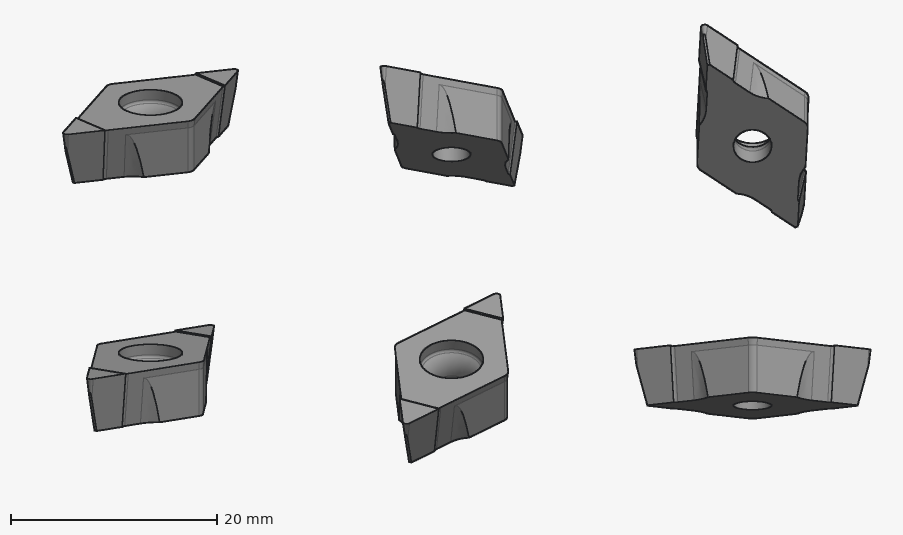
import cadquery as cq
import math

LENGTH = 20.4
WIDTH = 11.0
HEIGHT = 5.53
TIP_ANGLE = 55.0
CLEARANCE = 7.0

TIP_RISE = 0.08
TIP_STEP_WIDTH = 0.16
FLANK_STEP = 0.15
TIP_START = 6.1
BLEND_START = 5.75
CORNER_RADIUS = 1.0
NOSE_FACET_DEPTH = 1.43

PAD_TOP = 4.73
PAD_END = 3.98
PAD_END_RADIUS = 3.26
PAD_CURVE_RISE = 0.82

BORE_DIAMETER = 3.7
SEAT_DIAMETER = 6.16
SEAT_DEPTH = 1.12
SEAT_COVE_WIDTH = 0.16
SEAT_COVE_DEPTH = 0.3

SLOPE = math.tan(math.radians(CLEARANCE))
HALF_ANGLE = math.radians(TIP_ANGLE / 2)
SIN_HALF = math.sin(HALF_ANGLE)
COS_HALF = math.cos(HALF_ANGLE)

tip_distance = WIDTH / 2
body_distance = tip_distance - FLANK_STEP
bottom_inset = HEIGHT * SLOPE
nose_ratio = (1 + math.cos(2 * HALF_ANGLE)) / math.sin(2 * HALF_ANGLE)
nose_radius = (nose_ratio * tip_distance - LENGTH / 2) / (nose_ratio - 1)
nose_centre = (tip_distance - nose_radius) / SIN_HALF


def flank_point(along, distance, side_x, side_y):
    """Point on one of the four flanks; along grows from its middle towards the tip."""
    x = distance * COS_HALF - along * SIN_HALF
    y = distance * SIN_HALF + along * COS_HALF
    return (side_x * x, side_y * y)


def arc_rise(along_end, radius, along):
    """Outward rise of an arc tangent to the flank at along_end."""
    return radius - math.sqrt(radius**2 - (along - along_end)**2)


def ruled(outline, height):
    """Solid between an outline at z = 0 and the same outline at the given height."""
    lower = outline(bottom_inset)
    upper = outline(bottom_inset - height * SLOPE)
    return cq.Workplane(cq.Solid.makeLoft([lower, upper.translate((0, 0, height))], True))


def blank_outline(inset):
    """Sharp-nosed outline: body flanks, curved blends and tips; inset grows downwards."""
    body = body_distance - inset
    tip = tip_distance - inset
    run = TIP_START - BLEND_START
    blend_radius = (run**2 + FLANK_STEP**2) / (2 * FLANK_STEP)
    middle = (TIP_START + BLEND_START) / 2
    middle_rise = arc_rise(BLEND_START, blend_radius, middle)
    corner_radius = CORNER_RADIUS - inset
    corner_centre = (body - corner_radius) / COS_HALF
    corner_along = -corner_centre * SIN_HALF

    wire = cq.Workplane().moveTo(*flank_point(corner_along, body, 1, 1))
    for x, y in ((1, 1), (-1, 1), (-1, -1), (1, -1)):
        to_tip = x * y > 0
        blend = flank_point(BLEND_START, body, x, y)
        curve = flank_point(middle, body + middle_rise, x, y)
        start = flank_point(TIP_START, tip, x, y)
        if to_tip:
            wire = wire.lineTo(*blend).threePointArc(curve, start)
            wire = wire.lineTo(0, y * tip / SIN_HALF)
        else:
            wire = wire.lineTo(*start).threePointArc(curve, blend)
            wire = wire.lineTo(*flank_point(corner_along, body, x, y))
            wire = wire.threePointArc(
                (x * (corner_centre + corner_radius), 0),
                flank_point(corner_along, body, x, -y),
            )
    return wire.close().val()


def pad_outline(inset):
    """Outline of the pad at the +X obtuse corner, with a curve at each end."""
    flank = body_distance - inset
    curve_run = math.sqrt(2 * PAD_END_RADIUS * PAD_CURVE_RISE - PAD_CURVE_RISE**2)
    middle = PAD_END - curve_run / 2
    middle_distance = flank + arc_rise(PAD_END, PAD_END_RADIUS, middle)
    outer = flank + PAD_CURVE_RISE
    outer_along = PAD_END - curve_run
    return (
        cq.Workplane()
        .moveTo(0, 0)
        .lineTo(*flank_point(PAD_END, flank, 1, 1))
        .threePointArc(
            flank_point(middle, middle_distance, 1, 1),
            flank_point(outer_along, outer, 1, 1),
        )
        .lineTo(outer / COS_HALF, 0)
        .lineTo(*flank_point(outer_along, outer, 1, -1))
        .threePointArc(
            flank_point(middle, middle_distance, 1, -1),
            flank_point(PAD_END, flank, 1, -1),
        )
        .close()
        .val()
    )


def make_pad():
    """Upright flanks around the +X obtuse corner."""
    inset = (HEIGHT - PAD_TOP) * SLOPE
    distance = body_distance - inset
    tip_y = distance / SIN_HALF
    upright = (
        cq.Workplane()
        .polyline([(0, -tip_y), (distance / COS_HALF, 0), (0, tip_y)])
        .close()
        .extrude(PAD_TOP)
        .edges("|Z and >X")
        .fillet(CORNER_RADIUS - inset)
    )
    return ruled(pad_outline, PAD_TOP).intersect(upright)


def top_cutter():
    """Lowers the top between the tips, leaving a sloped step at each tip."""
    tip_edge = tip_distance * SIN_HALF + TIP_START * COS_HALF
    body_edge = tip_edge - TIP_STEP_WIDTH
    floor = HEIGHT - TIP_RISE
    return (
        cq.Workplane("YZ")
        .polyline([(-tip_edge, HEIGHT), (-body_edge, floor), (body_edge, floor), (tip_edge, HEIGHT)])
        .close()
        .extrude(WIDTH, both=True)
    )


def nose_cutter():
    """Material outside the conical nose and its lower flat, at the +Y tip."""
    touch_x = nose_radius * COS_HALF
    touch_y = nose_centre + nose_radius * SIN_HALF
    sharp_y = tip_distance / SIN_HALF
    kite = (
        cq.Workplane()
        .polyline([(0, nose_centre), (touch_x, touch_y), (0, sharp_y), (-touch_x, touch_y)])
        .close()
        .extrude(HEIGHT)
    )
    cone_depth = nose_radius / SLOPE
    cone = cq.Workplane(
        cq.Solid.makeCone(0, nose_radius, cone_depth, cq.Vector(0, nose_centre, HEIGHT - cone_depth))
    )
    flat_z = HEIGHT - NOSE_FACET_DEPTH
    flat_y = nose_centre + nose_radius - NOSE_FACET_DEPTH * SLOPE
    flat_run = flat_z * SLOPE / SIN_HALF
    flat = (
        cq.Workplane("YZ")
        .polyline([(flat_y, flat_z), (flat_y - flat_run, 0), (sharp_y, 0), (sharp_y, flat_z)])
        .close()
        .extrude(WIDTH, both=True)
    )
    return kite.cut(cone).union(flat)


def screw_hole():
    """Through bore whose seat narrows in an S-curve: a hollow cove, then a rounded bowl."""
    bore = BORE_DIAMETER / 2
    seat = SEAT_DIAMETER / 2
    bowl = seat - SEAT_COVE_WIDTH
    wall_z = HEIGHT - SEAT_DEPTH
    bowl_z = wall_z - SEAT_COVE_DEPTH
    bowl_depth = (bowl - bore) * SEAT_COVE_DEPTH / SEAT_COVE_WIDTH
    return (
        cq.Workplane("XZ")
        .moveTo(0, HEIGHT)
        .lineTo(seat, HEIGHT)
        .lineTo(seat, wall_z)
        .tangentArcPoint((bowl, bowl_z), relative=False)
        .tangentArcPoint((bore, bowl_z - bowl_depth), relative=False)
        .lineTo(bore, 0)
        .lineTo(0, 0)
        .close()
        .revolve(360, (0, 0), (0, 1))
    )


insert = ruled(blank_outline, HEIGHT)
for turn in (0, 180):
    insert = insert.union(make_pad().rotate((0, 0, 0), (0, 0, 1), turn))
    insert = insert.cut(nose_cutter().rotate((0, 0, 0), (0, 0, 1), turn))
insert = insert.cut(top_cutter()).cut(screw_hole())
result = insert.rotate((0, 0, 0), (0, 0, 1), TIP_ANGLE / 2)